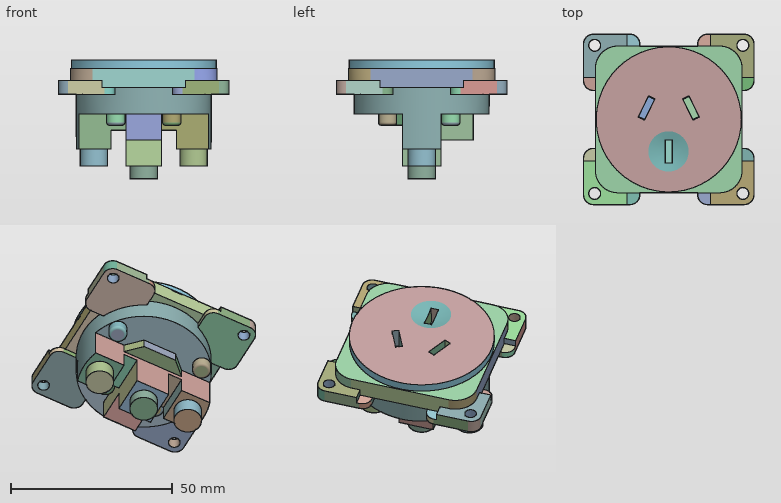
import cadquery as cq

DISC_BOTTOM = -2.65
LUG_TOP = -6.35
PLATE_BOTTOM = -8.55
LUG_BOTTOM = -10.65
BODY_BOTTOM = -16.75
PIN_BOTTOM = -20.2
BRIDGE_BOTTOM = -21.8
EARTH_SHELF_BOTTOM = -24.8
LEG_BOTTOM = -27.6
TERMINAL_BOTTOM = -32.85
EARTH_TERMINAL_BOTTOM = -36.8

DISC_RADIUS = 22.45
PLATE_SIZE = 45.4
PLATE_CORNER_RADIUS = 6.95

OVERALL_SIZE = 52.8
LUG_SIZE = 17.5
LUG_RAISED_SIZE = 13.45
LUG_CORNER_RADIUS = 3.1
SCREW_HOLE_INSET = 3.5
SCREW_HOLE_RADIUS = 1.8

BODY_RADIUS = 20.9
HOUSING_DEPTH = 11.95
LEG_INNER_X = 10.1
TERMINAL_X = 15.4
TERMINAL_RADIUS = 4.3
EARTH_HOUSING_WIDTH = 11.1
EARTH_SHELF_FRONT = -16.0
BACK_PAD_REACH = 4.6

PIN_FRONT_X = 8.65
PIN_FRONT_Y = -9.0
PIN_BACK_X = 14.7
PIN_BACK_Y = 10.55
PIN_RADIUS = 2.8
PIN_TIP_FILLET = 0.8

SLOT_LENGTH = 7.35
SLOT_WIDTH = 2.15
SLOT_END_TAPER = 0.2
SLOT_DEPTH = 6.35
SLOT_X = 6.85
SLOT_Y = 3.55
SLOT_TILT = 26.0
EARTH_SLOT_Y = -10.0
EARTH_SLOT_LENGTH = 7.1
EARTH_SLOT_WIDTH = 2.45
EARTH_SLOT_SIDE_TAPER = 0.2
DISH_RADIUS = 6.25
DISH_DEPTH = 1.05

SIDES = (-1, 1)
CORNERS = [(side_x, side_y) for side_x in SIDES for side_y in SIDES]


def box(x_min, x_max, y_min, y_max, bottom, top):
    """Axis-aligned block between the given limits."""
    block = cq.Workplane("XY").box(x_max - x_min, y_max - y_min, top - bottom, centered=False)
    return block.translate((x_min, y_min, bottom))


def cylinder(x, y, radius, bottom, top):
    """Upright cylinder between two levels."""
    return cq.Workplane("XY", origin=(x, y, bottom)).circle(radius).extrude(top - bottom)


def centred_box(length_x, length_y, bottom, top):
    """Block centred on the socket axis."""
    return box(-length_x / 2, length_x / 2, -length_y / 2, length_y / 2, bottom, top)


def cover():
    """Round cover disc on the rounded square plate."""
    plate = centred_box(PLATE_SIZE, PLATE_SIZE, PLATE_BOTTOM, DISC_BOTTOM)
    plate = plate.edges("|Z").fillet(PLATE_CORNER_RADIUS)
    return plate.union(cylinder(0, 0, DISC_RADIUS, DISC_BOTTOM, 0))


def lug(side_x, side_y):
    """Corner lug with a screw hole; its ends beside the plate are stepped down."""
    outer = OVERALL_SIZE / 2
    inner = outer - LUG_SIZE
    raised_inner = outer - LUG_RAISED_SIZE
    pad = box(inner, outer, inner, outer, LUG_BOTTOM, LUG_TOP)
    pad = pad.edges("|Z").fillet(LUG_CORNER_RADIUS)
    raised = box(raised_inner, outer, raised_inner, outer, PLATE_BOTTOM, LUG_TOP)
    low = box(inner, outer, inner, outer, LUG_BOTTOM, PLATE_BOTTOM)
    hole_at = outer - SCREW_HOLE_INSET
    hole = cylinder(hole_at, hole_at, SCREW_HOLE_RADIUS, LUG_BOTTOM, LUG_TOP)
    shaped = pad.intersect(low.union(raised)).cut(hole)
    if side_x < 0:
        shaped = shaped.mirror("YZ")
    if side_y < 0:
        shaped = shaped.mirror("XZ")
    return shaped


def leg(side):
    """Side terminal housing, rounded outside to follow the body, with its terminal."""
    half = HOUSING_DEPTH / 2
    x_limits = sorted((side * LEG_INNER_X, side * BODY_RADIUS))
    block = box(*x_limits, -half, half, LEG_BOTTOM, BODY_BOTTOM)
    block = block.intersect(cylinder(0, 0, BODY_RADIUS, LEG_BOTTOM, BODY_BOTTOM))
    return block.union(cylinder(side * TERMINAL_X, 0, TERMINAL_RADIUS, TERMINAL_BOTTOM, LEG_BOTTOM))


def earth_housing():
    """Middle housing with a shallower shelf in front and the longest terminal below."""
    half_width = EARTH_HOUSING_WIDTH / 2
    deep = centred_box(EARTH_HOUSING_WIDTH, HOUSING_DEPTH, TERMINAL_BOTTOM, BODY_BOTTOM)
    shelf = box(-half_width, half_width, EARTH_SHELF_FRONT, 0, EARTH_SHELF_BOTTOM, BODY_BOTTOM)
    terminal = cylinder(0, 0, TERMINAL_RADIUS, EARTH_TERMINAL_BOTTOM, TERMINAL_BOTTOM)
    return deep.union(shelf).union(terminal)


def bridge():
    """Web joining the housings, with a shallower back pad that narrows at 45 degrees."""
    half_depth = HOUSING_DEPTH / 2
    web = centred_box(2 * LEG_INNER_X, HOUSING_DEPTH, BRIDGE_BOTTOM, BODY_BOTTOM)
    pad_back = half_depth + BACK_PAD_REACH
    pad_half_width = LEG_INNER_X - BACK_PAD_REACH
    pad = (
        cq.Workplane("XY", origin=(0, 0, PIN_BOTTOM))
        .moveTo(-LEG_INNER_X, half_depth)
        .lineTo(LEG_INNER_X, half_depth)
        .lineTo(pad_half_width, pad_back)
        .lineTo(-pad_half_width, pad_back)
        .close()
        .extrude(BODY_BOTTOM - PIN_BOTTOM)
    )
    return web.union(pad)


def pin(x, y):
    """Locating pin with a rounded tip."""
    return cylinder(x, y, PIN_RADIUS, PIN_BOTTOM, BODY_BOTTOM).faces("<Z").edges().fillet(PIN_TIP_FILLET)


def slot(width, length, side_taper, end_taper):
    """Blind contact slot whose sides and ends close in by the given tapers towards its floor."""
    return (
        cq.Workplane("XY")
        .rect(width, length)
        .workplane(offset=-SLOT_DEPTH)
        .rect(width - 2 * side_taper, length - 2 * end_taper)
        .loft(ruled=True)
    )


def dish():
    """Spherical lead-in around the earth slot."""
    sphere_radius = (DISH_RADIUS**2 + DISH_DEPTH**2) / (2 * DISH_DEPTH)
    return cq.Workplane("XY").sphere(sphere_radius).translate((0, EARTH_SLOT_Y, sphere_radius - DISH_DEPTH))


result = cover()
result = result.union(cylinder(0, 0, BODY_RADIUS, BODY_BOTTOM, PLATE_BOTTOM))
for corner in CORNERS:
    result = result.union(lug(*corner))
result = result.union(earth_housing()).union(bridge())
for side in SIDES:
    result = result.union(leg(side))
    result = result.union(pin(side * PIN_FRONT_X, PIN_FRONT_Y))
    result = result.union(pin(side * PIN_BACK_X, PIN_BACK_Y))

result = result.cut(dish())
earth_slot = slot(EARTH_SLOT_WIDTH, EARTH_SLOT_LENGTH, EARTH_SLOT_SIDE_TAPER, 0)
result = result.cut(earth_slot.translate((0, EARTH_SLOT_Y, 0)))
live_slot = slot(SLOT_WIDTH, SLOT_LENGTH, 0, SLOT_END_TAPER)
for side in SIDES:
    tilted_slot = live_slot.rotate((0, 0, 0), (0, 0, 1), side * SLOT_TILT)
    result = result.cut(tilted_slot.translate((side * SLOT_X, SLOT_Y, 0)))